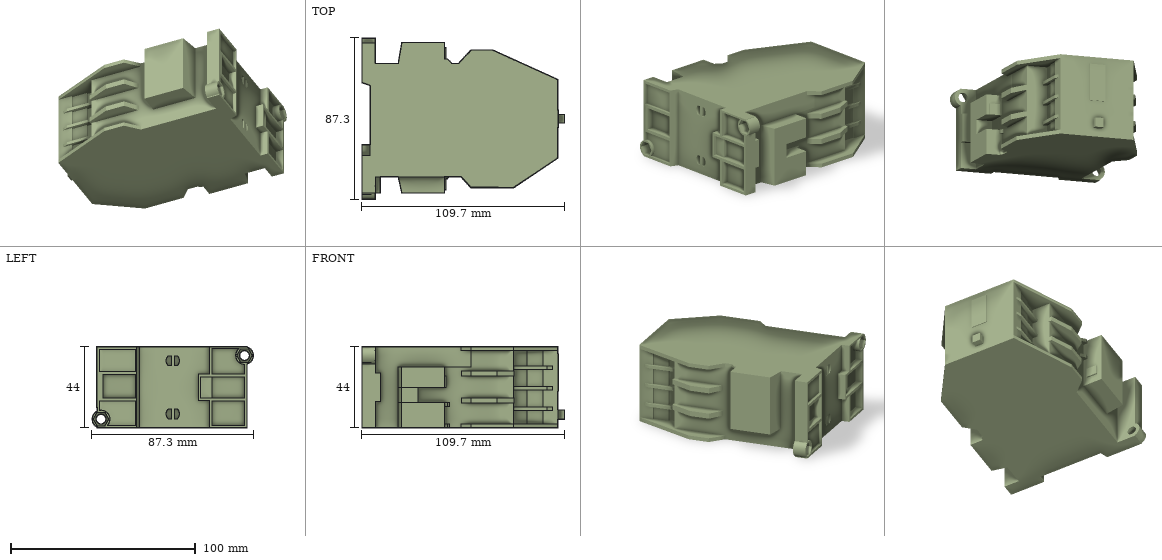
import cadquery as cq

height = 44.0
front_face_x = 106.0
overall_depth = 109.65
overall_width = 87.28

foot_thickness = 7.3
foot_rise_x = 9.9
foot_rise_bottom, foot_rise_top = 14.2, 29.8
foot_near_y, foot_far_y = -40.2, 41.0
lug_radius = 4.8
lug_hole_diameter = 5.2
nut_across_flats = 7.3
nut_pocket_depth = 5.0
lug_y = overall_width / 2 - lug_radius

rail_depth = 4.4
rail_near_y = -19.8
rail_far_y, rail_slope_y = 18.0, 19.5
rail_tab_y = -14.0
rail_tab_bottom, rail_tab_top = 14.9, 29.1

near_wall_y, far_wall_y = 31.4, 30.06
wall_end_x = 82.0
recess_step_x = 89.2
nose_start_x = 97.9
recess_deep_y, recess_shallow_y = 19.5, 20.4
nose_y = 21.3
wall_step = 0.2

block_base_x, block_start_x, block_end_x = 19.6, 21.5, 44.8
near_block_y, far_block_y = 40.2, 41.3
block_height = 33.0
insert_bottom, insert_top = 13.9, 21.9
insert_end_x = 30.3

gusset_tip_x = 46.2
gusset_tip_y = 32.5
gusset_height = 2.2
near_gusset_bottoms = (0, insert_bottom - gusset_height)
pad_end_x = 45.6
pad_end_y = 38.5
pad_height = 6.1

plate_thickness = 2.15
lobe_base_x, lobe_start_x = 53.5, 59.0
near_lobe_y, far_lobe_y = 37.1, 37.3
near_lobe_end_x, far_lobe_end_x = 82.1, 70.7
bottom_lobe_growth = 0.3
far_lobe_base_x = 52.3
rib_thickness = 2.9
rib_centres = (14.85, 29.5)
rib_base_x = 53.8
rib_end_x = 82.4
rib_end_y = {-1: 32.6, 1: 31.5}
rib_taper_x = {-1: 73.1, 1: 70.0}
rib_outer_y = 37.0
fin_thickness = 1.7
fin_centres = (10.4, 21.5, 32.6)
fin_taper_x, fin_end_x = 100.1, 103.1
fin_outer_y = 22.5

driver_slot_diameter = 7.2
driver_slot_height = 5.3
driver_slot_web = 1.65
driver_slot_depth = 3.0
driver_slot_centres = (7.6, 36.4)

label_width = 9.3
label_thickness = 0.4
label_bottom, label_top = 19.9, 40.1
pin_width = 4.8
pin_bottom, pin_top = 4.65, 9.8


def prism(points, bottom, top):
    """Extrude an XY outline between two heights."""
    return cq.Workplane("XY").workplane(offset=bottom).polyline(points).close().extrude(top - bottom)


def box(x_range, y_range, z_range):
    """Box given by its limits along each axis."""
    size = [limits[1] - limits[0] for limits in (x_range, y_range, z_range)]
    corner = (x_range[0], y_range[0], z_range[0])
    return cq.Workplane("XY").box(*size, centered=False).translate(corner)


def on_side(side, points):
    """Place points given as distances from the mid plane on the -Y (-1) or +Y (1) side."""
    return [(x, side * y) for x, y in points]


def make_core():
    """Full-height middle with the feet, rail recess, side walls and nose."""
    side_recess = [
        (wall_end_x, recess_deep_y),
        (recess_step_x, recess_deep_y),
        (recess_step_x, recess_shallow_y),
        (nose_start_x, recess_shallow_y),
        (nose_start_x, nose_y),
        (front_face_x, nose_y),
    ]
    near_side = [(wall_end_x, near_wall_y)] + side_recess
    far_side = [(wall_end_x, far_wall_y)] + side_recess
    outline = [
        (0, rail_near_y),
        (0, foot_near_y),
        (foot_thickness, foot_near_y),
        (foot_thickness, -near_wall_y),
        *on_side(-1, near_side),
        *reversed(far_side),
        (foot_thickness, far_wall_y),
        (foot_thickness, foot_far_y),
        (0, foot_far_y),
        (0, rail_slope_y),
        (rail_depth, rail_far_y),
        (rail_depth, rail_near_y),
    ]
    core = prism(outline, 0, height)
    sunk_y = (-near_wall_y, -near_wall_y + wall_step)
    core = core.cut(box((insert_end_x, lobe_start_x), sunk_y, (0, block_height)))
    return core.cut(box((lobe_start_x, wall_end_x), sunk_y, (0, height)))


def make_terminal_blocks():
    """Near block with a slot for the insert, and the plain far block, flush with the top."""
    near_outline = [
        (block_base_x, near_wall_y - wall_step),
        (block_base_x, near_wall_y),
        (block_start_x, near_block_y),
        (block_end_x, near_block_y),
        (block_end_x, near_wall_y - wall_step),
    ]
    slot_y = (-near_block_y, -near_wall_y + wall_step)
    slot = box((block_base_x, block_end_x), slot_y, (insert_bottom, insert_top))
    near_block = prism(on_side(-1, near_outline), 0, block_height).cut(slot)
    far_outline = [
        (block_base_x, far_wall_y),
        (block_start_x, far_block_y),
        (block_end_x, far_block_y),
        (block_end_x, far_wall_y),
    ]
    return near_block.union(prism(far_outline, height - block_height, height))


def make_terminal_backing(side, wall_y):
    """Gussets in the wall corner and a raised pad on the rear of one terminal block."""
    gusset_outline = [
        (block_end_x, wall_y - wall_step),
        (gusset_tip_x + gusset_tip_y - wall_y, wall_y - wall_step),
        (gusset_tip_x + gusset_tip_y - wall_y, wall_y),
        (gusset_tip_x, gusset_tip_y),
        (block_end_x, gusset_tip_y),
    ]
    pad_outline = [
        (block_end_x, gusset_tip_y),
        (pad_end_x, gusset_tip_y),
        (pad_end_x, pad_end_y),
        (block_end_x, pad_end_y),
    ]
    bands = [(gusset_outline, bottom, gusset_height) for bottom in near_gusset_bottoms]
    bands.append((pad_outline, insert_top, pad_height))
    backing = cq.Workplane("XY")
    for outline, near_bottom, band_height in bands:
        bottom = near_bottom if side < 0 else height - near_bottom - band_height
        backing = backing.add(prism(on_side(side, outline), bottom, bottom + band_height))
    return backing.combine()


def make_cover_plate(bottom, lobe_growth):
    """Thin plate over the core with the lobes that stand out on both sides."""
    lobe_y = near_lobe_y + lobe_growth
    outline = [
        (lobe_base_x, -near_wall_y + 2 * wall_step),
        (lobe_base_x, -near_wall_y),
        (lobe_start_x, -lobe_y),
        (near_lobe_end_x, -lobe_y),
        (front_face_x, -nose_y),
        (front_face_x, nose_y),
        (far_lobe_end_x, far_lobe_y),
        (lobe_start_x, far_lobe_y),
        (far_lobe_base_x, far_wall_y),
    ]
    return prism(outline, bottom, bottom + plate_thickness)


def make_ribs(side, wall_y):
    """Insulating ribs standing out of one side wall."""
    outline = [
        (rib_base_x, wall_y - 2 * wall_step),
        (rib_base_x, wall_y),
        (lobe_start_x, rib_outer_y),
        (rib_taper_x[side], rib_outer_y),
        (rib_end_x, rib_end_y[side]),
        (rib_end_x, wall_y - 2 * wall_step),
    ]
    ribs = cq.Workplane("XY")
    for centre in rib_centres:
        bottom = centre - rib_thickness / 2
        ribs = ribs.add(prism(on_side(side, outline), bottom, bottom + rib_thickness))
    return ribs.combine()


def make_fins(side):
    """Thin fins that bridge the side recess and taper out on the nose."""
    outline = [
        (wall_end_x, recess_deep_y),
        (wall_end_x, fin_outer_y),
        (fin_taper_x, fin_outer_y),
        (fin_end_x, nose_y),
        (nose_start_x, nose_y),
        (nose_start_x, recess_deep_y),
    ]
    fins = cq.Workplane("XY")
    for centre in fin_centres:
        bottom = centre - fin_thickness / 2
        fins = fins.add(prism(on_side(side, outline), bottom, bottom + fin_thickness))
    return fins.combine()


def make_mounting_pockets():
    """Pockets in the mounting face: depth, then Y limits, then Z limits."""
    shallow, deep = 1.7, 4.1
    near_y = (-38.8, -21.3)
    far_y = (20.1, 39.6)
    middle_z = (16.3, 27.7)
    bottom_z = (1.4, 14.6)
    pockets = [
        (shallow, far_y, (30.5, 42.5)),
        (deep, (20.1, 37.7), (16.3, 28.8)),
        (shallow, far_y, bottom_z),
        (deep, near_y, (29.1, 43.0)),
        (deep, near_y, middle_z),
        (shallow, (near_y[1], -15.1), middle_z),
        (deep, near_y, bottom_z),
    ]
    cutter = cq.Workplane("XY")
    for depth, y_range, z_range in pockets:
        cutter = cutter.add(box((0, depth), y_range, z_range))
    return cutter.combine()


def make_driver_slots():
    """Pairs of half-round slots, each a clipped disc split by a web."""
    half_height = driver_slot_height / 2
    half_web = driver_slot_web / 2
    x_range = (rail_depth, rail_depth + driver_slot_depth)
    y_range = (-driver_slot_diameter, driver_slot_diameter)
    slots = cq.Workplane("XY")
    for z in driver_slot_centres:
        disc = (
            cq.Workplane("YZ", origin=(rail_depth, 0, z))
            .circle(driver_slot_diameter / 2)
            .extrude(driver_slot_depth)
        )
        disc = disc.intersect(box(x_range, y_range, (z - half_height, z + half_height)))
        disc = disc.cut(box(x_range, (-half_web, half_web), (0, height)))
        slots = slots.add(disc)
    return slots.combine()


lug_points = [(-lug_y, height - lug_radius), (lug_y, lug_radius)]


def lug_cylinders(radius):
    """Cylinders through the foot at both mounting lugs."""
    return cq.Workplane("YZ").pushPoints(lug_points).circle(radius).extrude(foot_thickness)


def make_nut_pockets():
    """Hexagonal pockets in the mounting face, corners along Y."""
    across_corners = nut_across_flats * 2 / 3**0.5
    return cq.Workplane("YZ").pushPoints(lug_points).polygon(6, across_corners).extrude(nut_pocket_depth)


def make_housing():
    """Moulded housing with all its plates, ribs, lugs and pockets."""
    foot_rise = box(
        (0, foot_rise_x), (foot_near_y, -near_wall_y), (foot_rise_bottom, foot_rise_top)
    )
    rail_tab = box((0, rail_depth), (rail_near_y, rail_tab_y), (rail_tab_bottom, rail_tab_top))
    housing = make_core().union(foot_rise).union(rail_tab).union(make_terminal_blocks())
    housing = housing.union(make_cover_plate(0, bottom_lobe_growth))
    housing = housing.union(make_cover_plate(height - plate_thickness, 0))
    for side, wall_y in ((-1, near_wall_y), (1, far_wall_y)):
        housing = housing.union(make_terminal_backing(side, wall_y))
        housing = housing.union(make_ribs(side, wall_y))
        housing = housing.union(make_fins(side))
    housing = housing.cut(make_mounting_pockets()).cut(make_driver_slots())
    housing = housing.union(lug_cylinders(lug_radius))
    return housing.cut(lug_cylinders(lug_hole_diameter / 2)).cut(make_nut_pockets())


def make_terminal_insert():
    """Short block between the two halves of the near terminal block."""
    outline = [
        (block_base_x, near_wall_y),
        (block_start_x, near_block_y),
        (insert_end_x, near_block_y),
        (insert_end_x, near_wall_y),
    ]
    return prism(on_side(-1, outline), insert_bottom, insert_top)


def make_label():
    """Thin label plate on the front face."""
    x_range = (front_face_x, front_face_x + label_thickness)
    return box(x_range, (-label_width / 2, label_width / 2), (label_bottom, label_top))


def make_indicator_pin():
    """Square indicator pin standing on the front face."""
    return box((front_face_x, overall_depth), (-pin_width / 2, pin_width / 2), (pin_bottom, pin_top))


housing = make_housing()
terminal_insert = make_terminal_insert()
label = make_label()
indicator_pin = make_indicator_pin()

result = cq.Compound.makeCompound(
    [housing.val(), terminal_insert.val(), label.val(), indicator_pin.val()]
)